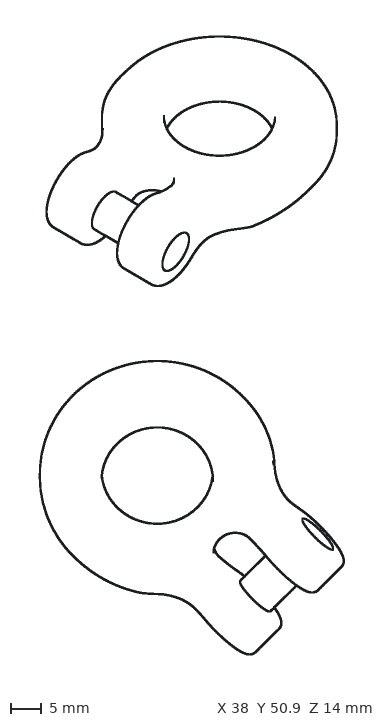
import cadquery as cq
import math

overall_length = 50.95

ring_radius = 19.0
hole_diameter = 18.0
half_thickness = 4.1

fork_half_width = 11.0
slot_width = 7.0
slot_half_width = slot_width / 2
slot_end_y = -14.05
neck_radius = 10.0
lug_radius = 7.0
lug_center_y = ring_radius - overall_length + lug_radius
lug_blend_radius = 10.0

pin_diameter = 7.0
pin_center_y = -25.5

slope_angle = math.radians(16.4)
slope_start_radius = 10.55
flare_radius = 10.2
flare_angle = 27.0

edge_round = 1.0

clearance = 2.55
trim_height = lug_radius + clearance

tolerance = 1e-4


def plan_body():
    """Ring and fork outline, with the neck arcs tangent to both, as a thick plate."""
    neck_center_x = fork_half_width + neck_radius
    neck_center_distance = ring_radius + neck_radius
    neck_center_y = -math.sqrt(neck_center_distance**2 - neck_center_x**2)
    contact_x = neck_center_x * ring_radius / neck_center_distance
    contact_y = neck_center_y * ring_radius / neck_center_distance
    contact_angle = math.atan2(contact_y - neck_center_y, contact_x - neck_center_x)
    middle_angle = (contact_angle + math.pi) / 2
    middle_x = neck_center_x + neck_radius * math.cos(middle_angle)
    middle_y = neck_center_y + neck_radius * math.sin(middle_angle)
    fork_end_y = lug_center_y - trim_height
    return (
        cq.Workplane("XY")
        .workplane(offset=-trim_height)
        .moveTo(contact_x, contact_y)
        .threePointArc((0, ring_radius), (-contact_x, contact_y))
        .threePointArc((-middle_x, middle_y), (-fork_half_width, neck_center_y))
        .lineTo(-fork_half_width, fork_end_y)
        .lineTo(fork_half_width, fork_end_y)
        .lineTo(fork_half_width, neck_center_y)
        .threePointArc((middle_x, middle_y), (contact_x, contact_y))
        .close()
        .extrude(2 * trim_height)
    )


def side_body():
    """Flat ring plate blending into the round lugs, extruded along X."""
    blend_center_z = half_thickness + lug_blend_radius
    blend_distance = lug_radius + lug_blend_radius
    blend_start_y = lug_center_y + math.sqrt(blend_distance**2 - blend_center_z**2)
    contact_ratio = lug_radius / blend_distance
    contact_y = lug_center_y + (blend_start_y - lug_center_y) * contact_ratio
    contact_z = blend_center_z * contact_ratio
    contact_angle = math.atan2(contact_z - blend_center_z, contact_y - blend_start_y)
    middle_angle = (contact_angle - math.pi / 2) / 2
    middle_y = blend_start_y + lug_blend_radius * math.cos(middle_angle)
    middle_z = blend_center_z + lug_blend_radius * math.sin(middle_angle)
    plate_end_y = ring_radius + clearance
    return (
        cq.Workplane("YZ")
        .moveTo(plate_end_y, half_thickness)
        .lineTo(blend_start_y, half_thickness)
        .threePointArc((middle_y, middle_z), (contact_y, contact_z))
        .threePointArc((lug_center_y - lug_radius, 0), (contact_y, -contact_z))
        .threePointArc((middle_y, -middle_z), (blend_start_y, -half_thickness))
        .lineTo(plate_end_y, -half_thickness)
        .close()
        .extrude(ring_radius + clearance, both=True)
    )


def slope_profile():
    """Section removed above a sloped face; X is distance from the ring axis.

    The crease between the flat and the slope is rounded by a tangent arc.
    """
    tangent_length = edge_round * math.tan(slope_angle / 2)
    round_start = slope_start_radius - tangent_length
    round_center_z = half_thickness - edge_round
    outer_radius = ring_radius + edge_round
    outer_z = half_thickness - (outer_radius - slope_start_radius) * math.tan(slope_angle)

    def round_point(angle):
        return (round_start + edge_round * math.sin(angle), round_center_z + edge_round * math.cos(angle))

    return (
        cq.Workplane("XZ")
        .moveTo(round_start, half_thickness)
        .threePointArc(round_point(slope_angle / 2), round_point(slope_angle))
        .lineTo(outer_radius, outer_z)
        .lineTo(outer_radius, half_thickness + clearance)
        .lineTo(round_start, half_thickness + clearance)
        .close()
    )


def slope_cutter():
    """Upper cut: half turn round the ring, then on the +X side an outward flare and a straight run."""
    ring_part = slope_profile().revolve(180, (0, 0, 0), (0, 1, 0))
    flare_axis_x = slope_start_radius + flare_radius
    flare = slope_profile().revolve(flare_angle, (flare_axis_x, 0, 0), (flare_axis_x, 1, 0))
    straight = (
        slope_profile()
        .extrude(ring_radius)
        .rotate((flare_axis_x, 0, 0), (flare_axis_x, 0, 1), flare_angle)
    )
    side = flare.union(straight)
    return ring_part.union(side).union(side.mirror("YZ"))


def ring_hole():
    """Round opening of the eye."""
    return (
        cq.Workplane("XY")
        .workplane(offset=-trim_height)
        .circle(hole_diameter / 2)
        .extrude(2 * trim_height)
    )


def fork_slot():
    """Slot between the lugs, with a half-round inner end."""
    arc_center_y = slot_end_y - slot_half_width
    open_end_y = lug_center_y - trim_height
    return (
        cq.Workplane("XY")
        .workplane(offset=-trim_height)
        .moveTo(-slot_half_width, open_end_y)
        .lineTo(-slot_half_width, arc_center_y)
        .threePointArc((0, slot_end_y), (slot_half_width, arc_center_y))
        .lineTo(slot_half_width, open_end_y)
        .close()
        .extrude(2 * trim_height)
    )


def pin_shape():
    """Plain round pin, flush with the outer sides of the fork."""
    return (
        cq.Workplane("YZ")
        .workplane(offset=-fork_half_width)
        .center(pin_center_y, 0)
        .circle(pin_diameter / 2)
        .extrude(2 * fork_half_width)
    )


def is_upright_line(edge):
    """True for a straight edge parallel to Z."""
    return edge.geomType() == "LINE" and abs(edge.tangentAt(0).z) > 1 - tolerance


def is_upright_wall(face):
    """True for a vertical wall of the ring, neck, slot or fork, but not for a round lug end."""
    vertical = abs(face.normalAt().z) < tolerance
    lug_end = face.geomType() == "CYLINDER" and face.Center().y < lug_center_y
    return vertical and not lug_end


def wall_rims(body):
    """Edges where the upright walls meet the faces above, below and around them."""
    walls = [face for face in body.faces().vals() if is_upright_wall(face)]
    rims = [edge for wall in walls for edge in wall.Edges() if not is_upright_line(edge)]
    return body.newObject(rims)


def clevis_body():
    """Eye and fork in one piece, rounded along its rims and bored for the pin."""
    upper_slopes = slope_cutter()
    body = (
        plan_body()
        .intersect(side_body())
        .cut(upper_slopes)
        .cut(upper_slopes.mirror("XY"))
        .cut(ring_hole())
        .cut(fork_slot())
    )
    return wall_rims(body).fillet(edge_round).cut(pin_shape())


clevis = clevis_body()
pin = pin_shape()

result = cq.Compound.makeCompound([clevis.solids().val(), pin.val()])